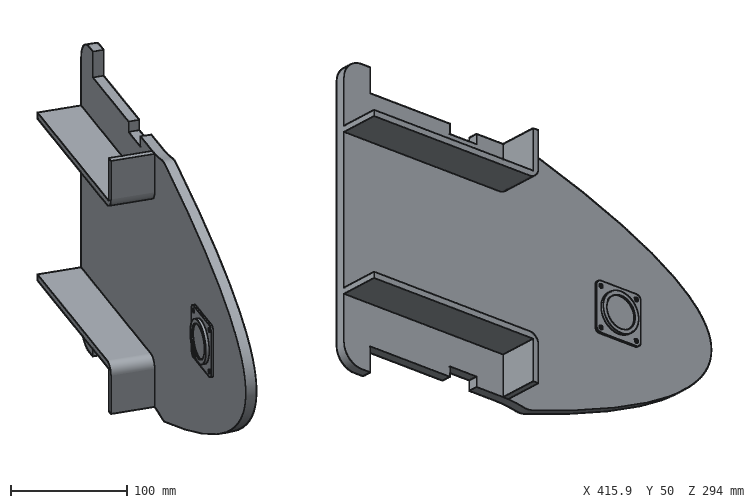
import cadquery as cq
import math

overall_length = 415.93
plate_thickness = 10.0
body_half_height = 122.0
hook_half_height = 147.0
hook_length = 30.0
hook_radius = 20.0

notch_start = 120.0
notch_length = 30.0
notch_depth = 10.0

nose_width_factor = 75.6
flare_start = 180.0
shoulder_x = 208.0
shoulder_radius = 20.0

wall_thickness = 6.0
wall_height = 40.0
wall_inner_half_gap = 75.0
wall_end = flare_start + wall_thickness
wall_corner_radius = 10.0

flange_x = 309.2
flange_size = 50.0
flange_thickness = 2.0
flange_corner_radius = 5.0
screw_spacing = 40.0
screw_diameter = 4.0
boss_diameter = 40.0
boss_height = 5.0
recess_diameter = 32.0
recess_depth = 1.5


def flange_plane():
    """Plane on the plate's front face, centred on the round unit and extruding towards -Y."""
    return cq.Workplane("XZ", origin=(flange_x, -plate_thickness, 0))


def box_between(x_start, x_end, z_start, z_end, y_front, y_back):
    """Box given by its limits along X, Z and Y."""
    size = (x_end - x_start, y_back - y_front, z_end - z_start)
    return cq.Workplane("XY", origin=(x_start, y_front, z_start)).box(*size, centered=False)


def flare_midpoint(run, rise):
    """Middle of the arc that leaves the straight edge tangentially, from run and rise."""
    radius = (run ** 2 + rise ** 2) / (2 * rise)
    half_angle = math.asin(run / radius) / 2
    mid_x = flare_start + radius * math.sin(half_angle)
    mid_z = body_half_height + radius * (1 - math.cos(half_angle))
    return mid_x, mid_z


def make_plate():
    """Plate outline with hooked rear corners, flared shoulders and a parabolic nose."""
    shoulder_z = math.sqrt(nose_width_factor * (overall_length - shoulder_x))
    flare_x, flare_z = flare_midpoint(shoulder_x - flare_start, shoulder_z - body_half_height)
    nose_control_x = 2 * overall_length - shoulder_x
    plate = (
        cq.Workplane("XZ")
        .moveTo(0, -hook_half_height)
        .lineTo(0, hook_half_height)
        .lineTo(hook_length, hook_half_height)
        .lineTo(hook_length, body_half_height)
        .lineTo(flare_start, body_half_height)
        .threePointArc((flare_x, flare_z), (shoulder_x, shoulder_z))
        .bezier([(shoulder_x, shoulder_z), (nose_control_x, 0), (shoulder_x, -shoulder_z)])
        .threePointArc((flare_x, -flare_z), (flare_start, -body_half_height))
        .lineTo(hook_length, -body_half_height)
        .lineTo(hook_length, -hook_half_height)
        .close()
        .extrude(plate_thickness)
    )
    plate = plate.edges("|Y and <X").fillet(hook_radius)
    for side in (1, -1):
        shoulder = (shoulder_x, -plate_thickness / 2, side * shoulder_z)
        corner = cq.selectors.NearestToPointSelector(shoulder)
        plate = plate.edges("|Y").edges(corner).fillet(shoulder_radius)
    return plate


def make_notch():
    """Cutter for the notch in the upper edge of the plate."""
    return box_between(
        notch_start, notch_start + notch_length,
        body_half_height - notch_depth, body_half_height,
        -plate_thickness, 0,
    )


def make_wall():
    """Upper L-shaped wall: a long leg along X and a short end leg along Z."""
    wall_front = -plate_thickness - wall_height
    outer = box_between(0, wall_end, wall_inner_half_gap, body_half_height, wall_front, -plate_thickness)
    outer = outer.edges("|Y and >X and <Z").fillet(wall_corner_radius)
    inside = box_between(
        0, wall_end - wall_thickness,
        wall_inner_half_gap + wall_thickness, body_half_height,
        wall_front, -plate_thickness,
    )
    return outer.cut(inside)


def make_round_unit():
    """Square flange with four screw holes, carrying a recessed round boss."""
    flange = flange_plane().rect(flange_size, flange_size).extrude(flange_thickness)
    flange = flange.edges("|Y").fillet(flange_corner_radius)
    screw_holes = (
        flange_plane()
        .rect(screw_spacing, screw_spacing, forConstruction=True)
        .vertices()
        .circle(screw_diameter / 2)
        .extrude(flange_thickness)
    )
    boss = flange_plane().circle(boss_diameter / 2).extrude(boss_height)
    recess = (
        flange_plane()
        .workplane(offset=boss_height - recess_depth)
        .circle(recess_diameter / 2)
        .extrude(recess_depth)
    )
    return flange.cut(screw_holes).union(boss).cut(recess)


notch = make_notch()
wall = make_wall()

result = make_plate().cut(notch).cut(notch.mirror("XY"))
result = result.union(wall).union(wall.mirror("XY"))
result = result.union(make_round_unit())